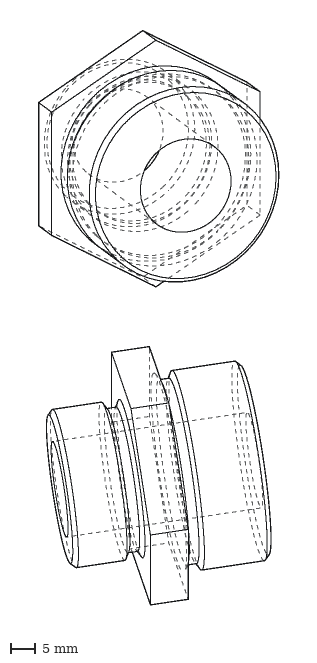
import cadquery as cq
import math

hex_across_corners = 53.1
hex_start = 15.05
hex_width = 7.95

length = 41.0
bore_diameter = 20.0

small_diameter = 33.25
small_undercut_diameter = 30.3
large_diameter = 41.9
large_undercut_diameter = 38.95
end_chamfer = 1.0
undercut_width = 3.75
flank_angle = 30.0

hex_end = hex_start + hex_width


def threaded_end(collar_face, end_face, diameter, undercut_diameter):
    """Revolve one stub from the collar face out to its chamfered end."""
    outward = math.copysign(1, end_face - collar_face)
    radius = diameter / 2
    undercut_radius = undercut_diameter / 2
    flank = outward * (radius - undercut_radius) * math.tan(math.radians(flank_angle))
    undercut_end = collar_face + outward * undercut_width
    chamfer_start = end_face - outward * end_chamfer
    return (
        cq.Workplane("XY")
        .moveTo(collar_face, 0)
        .lineTo(collar_face, radius)
        .lineTo(collar_face + flank, undercut_radius)
        .lineTo(undercut_end - flank, undercut_radius)
        .lineTo(undercut_end, radius)
        .lineTo(chamfer_start, radius)
        .lineTo(end_face, radius - end_chamfer)
        .lineTo(end_face, 0)
        .close()
        .revolve(360, (0, 0, 0), (1, 0, 0))
    )


collar = (
    cq.Workplane("YZ", origin=(hex_start, 0, 0))
    .polygon(6, hex_across_corners)
    .extrude(hex_width)
    .rotate((0, 0, 0), (1, 0, 0), 90)
)
small_end = threaded_end(hex_start, 0, small_diameter, small_undercut_diameter)
large_end = threaded_end(hex_end, length, large_diameter, large_undercut_diameter)
bore = cq.Workplane("YZ").circle(bore_diameter / 2).extrude(length)

result = collar.union(small_end).union(large_end).cut(bore)